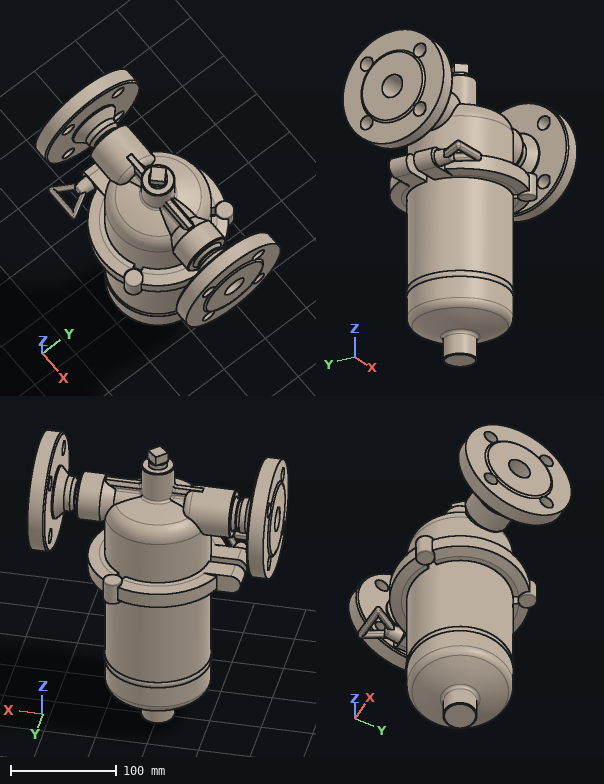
import cadquery as cq
import math

total_height = 303.5
vessel_radius = 101.0 / 2
parting_z = 177.2
dish_radius = 89.0

joint_margin = 3.0

bowl_shoulder_z = 44.0
bowl_knuckle_radius = 9.7
drain_radius = 32.0 / 2
drain_shoulder_z = 21.0
drain_chamfer = 1.0
bead_z = 68.5
bead_half_height = 3.0
bead_bulge = 1.0

head_shoulder_z = 231.3
head_knuckle_radius = 18.0
boss_radius = 32.0 / 2
boss_top_z = 288.3
boss_chamfer = 1.0
boss_fillet = 2.5

plug_neck_radius = 18.0 / 2
plug_square_diagonal = 20.0
plug_square_height = 10.0

pipe_z = 242.2
pipe_radius = 46.0 / 2
pipe_end_x = 74.5
pipe_end_chamfer = 1.0
tube_radius = 16.0
inlet_inner_x = 27.5
outlet_inner_x = 39.8
outlet_cone_x = 52.0

overall_length = 232.0
flange_radius = 115.0 / 2
flange_inner_x = 98.0
flange_outer_x = 114.5
flange_chamfer = 1.5
face_base_radius = 36.5
face_radius = 34.3
hub_base_radius = 25.5
hub_base_x = 96.5
hub_radius = 34.0 / 2
hub_cone_x = 88.0
hub_end_x = 82.2
neck_radius = 27.3 / 2
neck_outer_x = 79.0
neck_inner_x = 77.7
bore_radius = 23.0 / 2
bolt_hole_diameter = 14.0
bolt_circle_diameter = 85.5
bolt_count = 4
bolt_start_angle = 45

rib_top_z = 265.5
rib_start_x = -43.7
rib_end_x = 50.5
rib_width = 10.3
rib_top_width = 5.5
rib_bevel_height = 4.2
rib_foot_fillet = 2.5

clamp_height = 19.0
clamp_edge_height = 15.0
clamp_land_radius = 55.8
clamp_radius = 66.8
clamp_gap = 8.5
lug_center_x = -76.0
lug_half_width = 24.3
hinge_angle = 60.0
hinge_circle_radius = 64.0
pin_radius = 18.0 / 2
pin_height = 22.2
pin_edge_radius = 0.5

handle_x = -72.8
stem_base_radius = 16.0 / 2
stem_tip_radius = 6.5
stem_length = 15.2
stem_edge_radius = 1.2
grip_end_y = -60.5
grip_half_width = 21.5
grip_bar_width = 5.5
grip_bar_height = 8.0
grip_corner_radius = 2.5
grip_edge_radius = 2.0


def dish_center_drop(knuckle_radius):
    """Distance along Z from a dish's sphere centre to the plane of its knuckle centre."""
    return math.sqrt((dish_radius - knuckle_radius) ** 2 - (vessel_radius - knuckle_radius) ** 2)


def dish_point(angle, knuckle_radius):
    """Radius and height above the shoulder of the dish sphere at an angle from the axis."""
    drop = dish_center_drop(knuckle_radius)
    return dish_radius * math.sin(angle), dish_radius * math.cos(angle) - drop


def knuckle_point(angle, knuckle_radius):
    """Radius and height above the shoulder of the knuckle at an angle from the axis."""
    center_radius = vessel_radius - knuckle_radius
    return center_radius + knuckle_radius * math.sin(angle), knuckle_radius * math.cos(angle)


def make_vessel_end(shoulder_z, knuckle_radius, up):
    """Cylinder from the parting plane that ends in a torispherical dish, up (1) or down (-1)."""
    tangent_angle = math.asin((vessel_radius - knuckle_radius) / (dish_radius - knuckle_radius))

    def place(point):
        return point[0], shoulder_z + up * point[1]

    return (
        cq.Workplane("XZ")
        .moveTo(0, parting_z)
        .lineTo(vessel_radius, parting_z)
        .lineTo(vessel_radius, shoulder_z)
        .threePointArc(
            place(knuckle_point((tangent_angle + math.pi / 2) / 2, knuckle_radius)),
            place(knuckle_point(tangent_angle, knuckle_radius)),
        )
        .threePointArc(
            place(dish_point(tangent_angle / 2, knuckle_radius)),
            place(dish_point(0, knuckle_radius)),
        )
        .close()
        .revolve(360, (0, 0), (0, 1))
    )


def revolve_about_pipe(points):
    """Solid of revolution about the pipe axis from (x, radius) points."""
    outline = [(x, pipe_z + radius) for x, radius in points]
    return cq.Workplane("XZ").polyline(outline).close().revolve(360, (0, pipe_z), (1, pipe_z))


def joint_edges(pipe_outer_radius, bottom_z, top_z):
    """Selector of the edges around a vertical pipe between two heights."""
    reach = pipe_outer_radius + joint_margin
    return cq.selectors.BoxSelector((-reach, -reach, bottom_z), (reach, reach, top_z), boundingbox=True)


def make_bowl():
    """Lower body: cylinder with a weld bead, dished bottom and drain pipe."""
    bowl = make_vessel_end(bowl_shoulder_z, bowl_knuckle_radius, -1)
    drain = (
        cq.Workplane("XY").circle(drain_radius).extrude(bowl_shoulder_z)
        .faces("<Z").chamfer(drain_chamfer)
    )
    dish_angle = math.asin(drain_radius / dish_radius)
    dish_height = dish_point(dish_angle, bowl_knuckle_radius)[1]
    fillet_height = bowl_shoulder_z - dish_height - drain_shoulder_z
    bead = (
        cq.Workplane("XZ")
        .moveTo(0, bead_z - bead_half_height)
        .lineTo(vessel_radius, bead_z - bead_half_height)
        .threePointArc(
            (vessel_radius + bead_bulge, bead_z), (vessel_radius, bead_z + bead_half_height)
        )
        .lineTo(0, bead_z + bead_half_height)
        .close()
        .revolve(360, (0, 0), (0, 1))
    )
    joint = joint_edges(drain_radius, drain_shoulder_z, bowl_shoulder_z - dish_height + joint_margin)
    return bowl.union(drain).edges(joint).fillet(fillet_height).union(bead)


def make_boss():
    """Vertical boss on the dome with a chamfered rim."""
    return (
        cq.Workplane("XY").workplane(offset=head_shoulder_z).circle(boss_radius)
        .extrude(boss_top_z - head_shoulder_z)
        .faces(">Z").chamfer(boss_chamfer)
    )


def make_plug():
    """Round neck with a square head, turned so that its corners lie on X and Y."""
    square_z = total_height - plug_square_height
    neck = (
        cq.Workplane("XY").workplane(offset=boss_top_z).circle(plug_neck_radius)
        .extrude(square_z - boss_top_z)
    )
    square = (
        cq.Workplane("XY").workplane(offset=square_z).polygon(4, plug_square_diagonal)
        .extrude(plug_square_height)
    )
    return neck.union(square)


def make_inlet_pipe():
    """Pipe on the -X side with a rounded inner end."""
    return (
        revolve_about_pipe([
            (-pipe_end_x, 0), (-pipe_end_x, pipe_radius),
            (-inlet_inner_x, pipe_radius), (-inlet_inner_x, 0),
        ])
        .faces(">X").edges().fillet(pipe_radius - tube_radius)
        .faces("<X").edges().chamfer(pipe_end_chamfer)
    )


def make_outlet_pipe():
    """Pipe on the +X side with a conical inner end."""
    return (
        revolve_about_pipe([
            (outlet_inner_x, 0), (outlet_inner_x, tube_radius), (outlet_cone_x, pipe_radius),
            (pipe_end_x, pipe_radius), (pipe_end_x, 0),
        ])
        .faces(">X").edges().chamfer(pipe_end_chamfer)
    )


def make_flange(side):
    """Welding-neck flange with its weld groove, raised face and bolt holes; side is -1 or 1 along X."""
    face_x = overall_length / 2
    profile = [
        (pipe_end_x, 0), (pipe_end_x, hub_radius), (neck_inner_x, neck_radius),
        (neck_outer_x, neck_radius), (hub_end_x, hub_radius), (hub_cone_x, hub_radius),
        (hub_base_x, hub_base_radius), (flange_inner_x, hub_base_radius),
        (flange_inner_x, flange_radius - flange_chamfer),
        (flange_inner_x + flange_chamfer, flange_radius), (flange_outer_x, flange_radius),
        (flange_outer_x, face_base_radius), (face_x, face_radius), (face_x, 0),
    ]
    holes = (
        cq.Workplane("YZ", origin=(side * flange_inner_x, 0, pipe_z))
        .polarArray(bolt_circle_diameter / 2, bolt_start_angle, 360, bolt_count)
        .circle(bolt_hole_diameter / 2)
        .extrude(side * (face_x - flange_inner_x))
    )
    return revolve_about_pipe([(side * x, radius) for x, radius in profile]).cut(holes)


def make_bore(side):
    """Blind bore through a flange and its neck; side is -1 or 1 along X."""
    face_x = overall_length / 2
    return (
        cq.Workplane("YZ", origin=(side * pipe_end_x, 0, pipe_z))
        .circle(bore_radius).extrude(side * (face_x - pipe_end_x))
    )


def make_rib():
    """Bevelled rib along the tops of the pipes, with foot fillets tangent to the tube."""
    half_width = rib_width / 2
    fillet_center_y = half_width + rib_foot_fillet
    fillet_angle = math.asin(fillet_center_y / (tube_radius + rib_foot_fillet))
    fillet_center_z = pipe_z + (tube_radius + rib_foot_fillet) * math.cos(fillet_angle)
    middle_angle = (fillet_angle + math.pi / 2) / 2
    fillet_middle = (
        fillet_center_y - rib_foot_fillet * math.sin(middle_angle),
        fillet_center_z - rib_foot_fillet * math.cos(middle_angle),
    )
    fillet_end = (
        tube_radius * math.sin(fillet_angle),
        pipe_z + tube_radius * math.cos(fillet_angle),
    )
    half_rib = (
        cq.Workplane("YZ", origin=(rib_start_x, 0, 0))
        .moveTo(0, rib_top_z)
        .lineTo(rib_top_width / 2, rib_top_z)
        .lineTo(half_width, rib_top_z - rib_bevel_height)
        .lineTo(half_width, fillet_center_z)
        .threePointArc(fillet_middle, fillet_end)
        .lineTo(0, pipe_z)
        .close()
        .extrude(rib_end_x - rib_start_x)
    )
    return half_rib.union(half_rib.mirror("XZ"))


def make_clamp_ring():
    """Ring with conical flanks and two lugs, slit between the lugs and at both hinges."""
    half_height = clamp_height / 2
    half_edge = clamp_edge_height / 2
    ring = (
        cq.Workplane("XZ", origin=(0, 0, parting_z))
        .polyline([
            (vessel_radius, -half_height), (clamp_land_radius, -half_height), (clamp_radius, -half_edge),
            (clamp_radius, half_edge), (clamp_land_radius, half_height), (vessel_radius, half_height),
        ])
        .close()
        .revolve(360, (0, 0), (0, 1))
    )
    lug_length = -lug_center_x
    lugs = (
        cq.Workplane("XZ", origin=(0, lug_half_width, parting_z))
        .moveTo(0, half_height)
        .lineTo(-lug_length, half_height)
        .threePointArc((-lug_length - half_height, 0), (-lug_length, -half_height))
        .lineTo(0, -half_height)
        .close()
        .extrude(2 * lug_half_width)
    )
    vessel_opening = (
        cq.Workplane("XY").workplane(offset=parting_z - half_height).circle(vessel_radius)
        .extrude(clamp_height)
    )
    ring = ring.union(lugs.cut(vessel_opening))
    slit_length = lug_length + clamp_height
    for angle in (180, hinge_angle, -hinge_angle):
        slit = (
            cq.Workplane("XY")
            .box(slit_length, clamp_gap, clamp_height, centered=(False, True, True))
            .rotate((0, 0, 0), (0, 0, 1), angle)
            .translate((0, 0, parting_z))
        )
        ring = ring.cut(slit)
    return ring


def make_hinge_pin(angle):
    """Hinge pin that bridges the slit at the given angle."""
    x = hinge_circle_radius * math.cos(math.radians(angle))
    y = hinge_circle_radius * math.sin(math.radians(angle))
    return (
        cq.Workplane("XY", origin=(x, y, parting_z - pin_height / 2))
        .circle(pin_radius).extrude(pin_height)
        .faces("<Z or >Z").edges().fillet(pin_edge_radius)
    )


def make_handle():
    """Tapered stem on the -Y lug with a triangular grip."""
    stem = (
        cq.Workplane("XZ", origin=(handle_x, -lug_half_width, parting_z))
        .circle(stem_base_radius)
        .workplane(offset=stem_length)
        .circle(stem_tip_radius)
        .loft()
        .faces("<Y").edges().fillet(stem_edge_radius)
    )
    apex_y = grip_end_y + grip_half_width * math.sqrt(3)
    triangle = [
        (handle_x - grip_half_width, grip_end_y), (handle_x + grip_half_width, grip_end_y), (handle_x, apex_y)
    ]
    grip_bottom_z = parting_z - grip_bar_height / 2
    outer = (
        cq.Workplane("XY").workplane(offset=grip_bottom_z).polyline(triangle).close()
        .extrude(grip_bar_height).edges("|Z").fillet(grip_corner_radius)
    )
    opening = (
        cq.Workplane("XY").workplane(offset=grip_bottom_z).polyline(triangle).close()
        .offset2D(-grip_bar_width).extrude(grip_bar_height)
    )
    grip = outer.cut(opening).faces("<Z or >Z").edges().fillet(grip_edge_radius)
    return stem.union(grip)


def make_head():
    """Upper body: dome, boss, plug, pipes, flanges and rib, with the clamp that reaches over the bowl."""
    foot = joint_edges(boss_radius, head_shoulder_z + head_knuckle_radius, boss_top_z - joint_margin)
    head = make_vessel_end(head_shoulder_z, head_knuckle_radius, 1).union(make_boss())
    tube = revolve_about_pipe([
        (-inlet_inner_x, 0), (-inlet_inner_x, tube_radius), (outlet_inner_x, tube_radius), (outlet_inner_x, 0)
    ])
    head = head.union(tube).union(make_rib())
    head = head.edges(foot).fillet(boss_fillet)
    parts = [make_plug(), make_inlet_pipe(), make_outlet_pipe(), make_flange(-1), make_flange(1)]
    parts += [make_clamp_ring(), make_hinge_pin(hinge_angle), make_hinge_pin(-hinge_angle), make_handle()]
    for part in parts:
        head = head.union(part)
    return head.cut(make_bore(-1)).cut(make_bore(1))


bowl = make_bowl().solids()
head = make_head().solids()
result = cq.Compound.makeCompound([bowl.val(), head.val()])